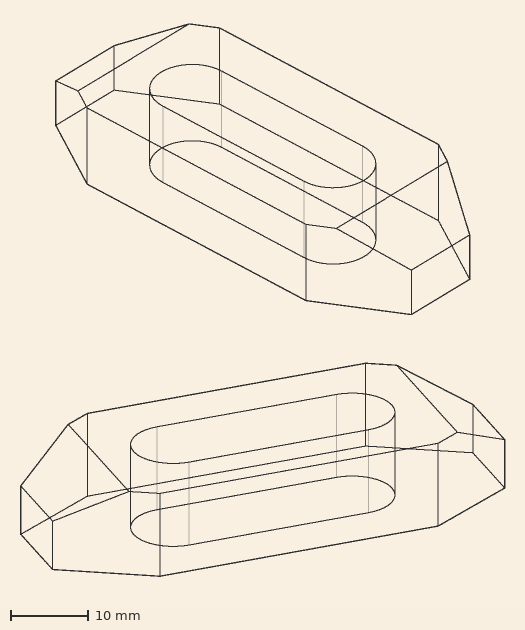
import cadquery as cq
import math

length = 63.0
width = 25.0
height = 12.0

nose_width = 11.0
nose_height = 7.0
taper_angle = 30.0

slot_length = 36.0
slot_width = 11.0

taper_slope = math.tan(math.radians(taper_angle))
side_taper_length = (width - nose_width) / 2 / taper_slope
top_taper_length = (height - nose_height) / taper_slope


def tapered_plan():
    """Vertical prism with its four corners cut back to the nose width."""
    half_straight = length / 2 - side_taper_length
    outline = [
        (-length / 2, -nose_width / 2),
        (-half_straight, -width / 2),
        (half_straight, -width / 2),
        (length / 2, -nose_width / 2),
        (length / 2, nose_width / 2),
        (half_straight, width / 2),
        (-half_straight, width / 2),
        (-length / 2, nose_width / 2),
    ]
    return cq.Workplane("XY").polyline(outline).close().extrude(height)


def sloped_profile():
    """Side profile across the full width, sloping down to each nose."""
    half_top = length / 2 - top_taper_length
    outline = [
        (-length / 2, 0),
        (length / 2, 0),
        (length / 2, nose_height),
        (half_top, height),
        (-half_top, height),
        (-length / 2, nose_height),
    ]
    return cq.Workplane("XZ").polyline(outline).close().extrude(width / 2, both=True)


body = tapered_plan().intersect(sloped_profile())

slot = cq.Workplane("XY").slot2D(slot_length, slot_width).extrude(height)
result = body.cut(slot)